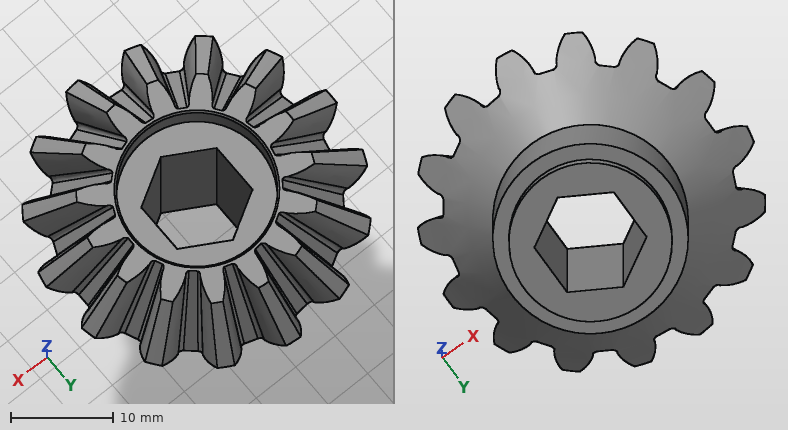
import cadquery as cq
import math

tooth_count = 15
height = 21.45
spigot_radius = 7.98
spigot_height = 1.5
hub_radius = 9.55
hub_top = 9.58
tip_radius = 17.1
tip_z = 17.0
face_top_radius = 11.8

recess_radius = 7.88
recess_depth = 3.07
recess_chamfer = 0.2
hex_across_flats = 9.55

apex_z = 31.37
root_radius = 14.4
back_slope = (tip_z - hub_top) / (tip_radius - hub_radius)
root_z = hub_top + (root_radius - hub_radius) * back_slope
outer_scale = 1.15
inner_scale = 0.5

root_corner = (0.7, 0.0)
fillet_middle = (1.02, 0.17)
flank_start = (1.2, 0.7)
flank_middle = (1.67, 2.05)
flank_end = (2.73, 3.65)
space_mouth = (3.6, 4.6)


def make_blank():
    """Revolved gear body with its stepped hub."""
    outline = [
        (0, 0),
        (spigot_radius, 0),
        (spigot_radius, spigot_height),
        (hub_radius, spigot_height),
        (hub_radius, hub_top),
        (tip_radius, tip_z),
        (face_top_radius, height),
        (0, height),
    ]
    return cq.Workplane("XZ").polyline(outline).close().revolve(360, (0, 0), (0, 1))


def space_section(scale):
    """Tooth space profile, scaled about the apex, square to the 45 degree pitch cone."""
    origin = (root_radius * scale, 0, apex_z + (root_z - apex_z) * scale)
    plane = cq.Plane(origin=origin, xDir=(0, 1, 0), normal=(1, 0, -1))

    def at(point, side):
        return (side * point[0] * scale, point[1] * scale)

    return (
        cq.Workplane(plane)
        .moveTo(*at(root_corner, -1))
        .lineTo(*at(root_corner, 1))
        .threePointArc(at(fillet_middle, 1), at(flank_start, 1))
        .threePointArc(at(flank_middle, 1), at(flank_end, 1))
        .lineTo(*at(space_mouth, 1))
        .lineTo(*at(space_mouth, -1))
        .lineTo(*at(flank_end, -1))
        .threePointArc(at(flank_middle, -1), at(flank_start, -1))
        .threePointArc(at(fillet_middle, -1), at(root_corner, -1))
        .close()
        .val()
    )


def make_tooth_space():
    """Tapered cutter for one tooth space, centred on +X."""
    return cq.Solid.makeLoft([space_section(outer_scale), space_section(inner_scale)], True)


def cut_bore(body):
    """Chamfered round recess above a hexagonal through hole with corners on Y."""
    floor_z = height - recess_depth
    recess = cq.Workplane("XY").workplane(offset=floor_z).circle(recess_radius).extrude(recess_depth)
    chamfer = cq.Workplane(
        cq.Solid.makeCone(
            recess_radius,
            recess_radius + recess_chamfer,
            recess_chamfer,
            pnt=cq.Vector(0, 0, height - recess_chamfer),
        )
    )
    hex_across_corners = hex_across_flats / math.cos(math.pi / 6)
    hexagon = cq.Workplane("XY").polygon(6, hex_across_corners).extrude(height)
    hexagon = hexagon.rotate((0, 0, 0), (0, 0, 1), 30)
    return body.cut(recess).cut(chamfer).cut(hexagon)


result = cut_bore(make_blank())

tooth_pitch = 360 / tooth_count
tooth_space = make_tooth_space()
for index in range(tooth_count):
    angle = 180 + (index + 0.5) * tooth_pitch
    result = result.cut(cq.Workplane(tooth_space.rotate((0, 0, 0), (0, 0, 1), angle)))